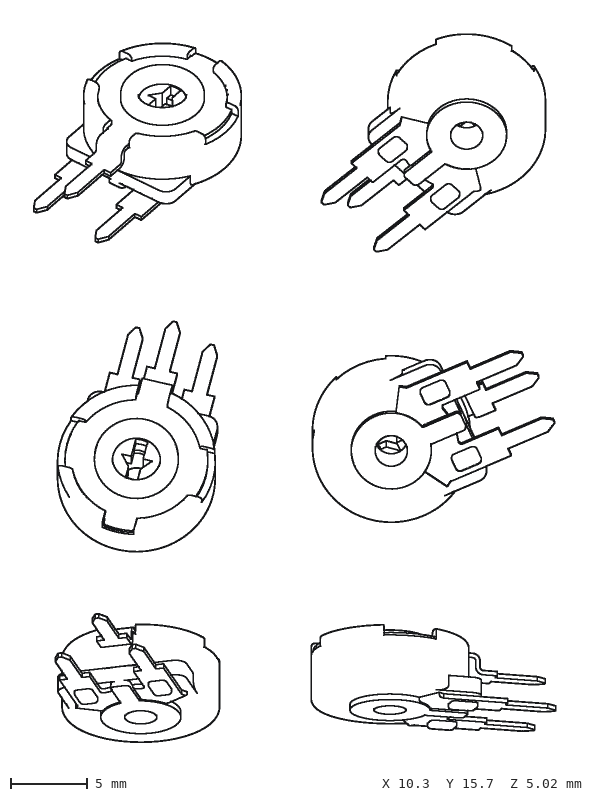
import cadquery as cq
import math


sheet = 0.3
overall_length = 15.65
housing_radius = 5.15
tip_y = housing_radius - overall_length

base_fillet = 0.4
seat_z = 3.3
seat_top = seat_z + sheet
crimp_top = 4.07
crimp_inner_radius = 4.23
crimp_fillet = 0.28
end_notch_half = 1.06
side_notch_half = 1.77
cavity_floor = 2.19
bore_radius = 1.05
block_half = 4.35
block_height = 1.03
block_corner = 0.78
boss_radius = 2.61
boss_depth = 0.38
rib_half = 0.64
rib_corner = 0.3

rivet_width = 1.22
rivet_length = 1.8
rivet_bottom = -0.61
rivet_corner = 0.3
rivet_fillet = 0.19
rivet_y = rivet_length / 2 - housing_radius

plate_radius = 4.66
plate_tab_reach = 5.02
plate_tab_corner = 0.19
lead_bottom = 2.19
bend_inner = 0.2
bend_outer = bend_inner + sheet
bend_face_y = -5.82

lead_pitch = 2.5
shoulder_half = 1.02
shoulder_y = -7.0
pin_half = 0.5
taper_y = -9.86
tip_half = 0.13

ring_radius = 4.41
ring_start_angle = math.radians(31)
ring_gap = 0.03
ring_end_fillet = 0.19
ring_inside_fillet = 0.22
lead_root_y = -2.66

rotor_radius = 2.74
rotor_top = 4.41
rim_outer_fillet = 0.5
pocket_radius = 1.56
rim_inner_fillet = 0.55
pocket_floor = 3.47
slot_width = 0.8
slot_half = slot_width / 2
slot_reach = 1.49
slot_floor = 2.69
arrow_half = 1.02
arrow_base_y = -0.2
arrow_shoulder_y = 0.53


def cylinder(radius, bottom, top):
    return cq.Workplane("XY").workplane(offset=bottom).circle(radius).extrude(top - bottom)


def block(x_half, y_min, y_max, bottom, top):
    """Box centred on X = 0."""
    outline = cq.Workplane("XY").workplane(offset=bottom).center(0, (y_min + y_max) / 2)
    return outline.rect(2 * x_half, y_max - y_min).extrude(top - bottom)


def rivet(x, top):
    shaft = cq.Workplane("XY").workplane(offset=rivet_bottom).center(x, rivet_y)
    shaft = shaft.rect(rivet_width, rivet_length).extrude(top - rivet_bottom)
    return shaft.edges("|Z").fillet(rivet_corner)


def make_housing():
    cup = cylinder(housing_radius, 0, crimp_top)
    cup = cup.cut(cylinder(crimp_inner_radius, seat_top, crimp_top))
    cup = cup.faces(">Z").edges().fillet(crimp_fillet)
    cup = cup.faces("<Z").edges().fillet(base_fillet)

    end_notch = block(end_notch_half, -housing_radius, housing_radius, seat_z, crimp_top)
    side_notch = block(housing_radius, -side_notch_half, side_notch_half, seat_z, crimp_top)
    cup = cup.cut(end_notch).cut(side_notch)

    front_block = block(block_half, -housing_radius, 0, 0, block_height)
    front_block = front_block.edges("|Z and <Y").fillet(block_corner)
    boss = cylinder(boss_radius, -boss_depth, 0)
    rib = block(rib_half, -housing_radius, 0, -boss_depth, 0)
    rib = rib.edges("|Z and <Y").fillet(rib_corner)
    body = cup.union(front_block).union(boss).union(rib)

    body = body.cut(cylinder(plate_radius, seat_z, seat_top))
    body = body.cut(cylinder(rotor_radius, cavity_floor, seat_z))
    body = body.cut(cylinder(bore_radius, -boss_depth, cavity_floor))

    for side in (-1, 1):
        body = body.union(rivet(side * lead_pitch, 0).faces("<Z").edges().fillet(rivet_fillet))
    return body


def lead(x, root_y, bottom):
    """Flat lead from root_y to the tip, with a wide shoulder and a tapered pin."""
    right_side = [
        (shoulder_half, root_y),
        (shoulder_half, shoulder_y),
        (pin_half, shoulder_y),
        (pin_half, taper_y),
        (tip_half, tip_y),
    ]
    left_side = [(-px, py) for px, py in reversed(right_side)]
    outline = cq.Workplane("XY").workplane(offset=bottom).center(x, 0)
    return outline.polyline(right_side + left_side).close().extrude(sheet)


def make_wiper_plate():
    disc = cylinder(plate_radius, seat_z, seat_top)

    rear_tab = block(shoulder_half, 0, plate_tab_reach, seat_z, seat_top)
    rear_tab = rear_tab.intersect(cylinder(plate_tab_reach, seat_z, seat_top))
    rear_tab = rear_tab.edges("|Z").edges(">Y").fillet(plate_tab_corner)

    lead_top = lead_bottom + sheet
    back_face_y = bend_face_y + sheet
    upper_y = bend_face_y + bend_outer
    lower_y = bend_face_y - bend_inner
    strip = (
        cq.Workplane("YZ")
        .workplane(offset=-shoulder_half)
        .moveTo(0, seat_top)
        .lineTo(upper_y, seat_top)
        .radiusArc((bend_face_y, seat_top - bend_outer), -bend_outer)
        .lineTo(bend_face_y, lead_top + bend_inner)
        .radiusArc((lower_y, lead_top), bend_inner)
        .lineTo(lower_y, lead_bottom)
        .radiusArc((back_face_y, lead_bottom + bend_outer), -bend_outer)
        .lineTo(back_face_y, seat_z - bend_inner)
        .radiusArc((upper_y, seat_z), bend_inner)
        .lineTo(0, seat_z)
        .close()
        .extrude(2 * shoulder_half)
    )
    plate = disc.union(rear_tab).union(strip).union(lead(0, lower_y, lead_bottom))
    return plate.cut(cylinder(rotor_radius, seat_z, seat_top))


def make_side_terminal(side):
    """Side terminal with its ring sector around the boss; side is -1 for -X and +1 for +X."""
    ring_end_x = rib_half + ring_gap
    ring_end_angle_inner = math.acos(ring_end_x / boss_radius)
    ring_end_angle_outer = math.acos(ring_end_x / ring_radius)

    def ring_point(radius, angle):
        return (side * radius * math.cos(angle), -radius * math.sin(angle))

    mid_angle = (ring_start_angle + ring_end_angle_inner) / 2
    ring = (
        cq.Workplane("XY")
        .workplane(offset=-sheet)
        .moveTo(*ring_point(boss_radius, ring_start_angle))
        .lineTo(*ring_point(ring_radius, ring_start_angle))
        .threePointArc(ring_point(ring_radius, mid_angle), ring_point(ring_radius, ring_end_angle_outer))
        .lineTo(*ring_point(boss_radius, ring_end_angle_inner))
        .threePointArc(ring_point(boss_radius, mid_angle), ring_point(boss_radius, ring_start_angle))
        .close()
        .extrude(sheet)
    )
    ring = ring.faces("<Z").edges("%LINE").fillet(ring_end_fillet)

    terminal = ring.union(lead(side * lead_pitch, lead_root_y, -sheet))

    corner_x = lead_pitch - shoulder_half
    corner_y = -math.sqrt(ring_radius**2 - corner_x**2)
    inside_corner = cq.selectors.NearestToPointSelector((side * corner_x, corner_y, -sheet / 2))
    terminal = terminal.edges("|Z").edges(inside_corner).fillet(ring_inside_fillet)
    return terminal.cut(rivet(side * lead_pitch, 0))


def round_ended_slot(reach, bottom):
    """Slot along Y up to the pocket floor, with ends on a circle about the rotor axis."""
    slot = block(slot_half, -reach, reach, bottom, pocket_floor)
    return slot.intersect(cylinder(reach, bottom, pocket_floor))


def make_rotor():
    rotor = cylinder(rotor_radius, cavity_floor, rotor_top)
    rotor = rotor.faces(">Z").edges().fillet(rim_outer_fillet)
    rotor = rotor.cut(cylinder(pocket_radius, pocket_floor, rotor_top))
    pocket_edge = cq.selectors.RadiusNthSelector(0)
    rotor = rotor.faces(">Z").edges("%CIRCLE").edges(pocket_edge).fillet(rim_inner_fillet)

    arrow_head = [
        (-arrow_half, arrow_base_y),
        (arrow_half, arrow_base_y),
        (slot_half, arrow_shoulder_y),
        (-slot_half, arrow_shoulder_y),
    ]
    head = cq.Workplane("XY").workplane(offset=cavity_floor).polyline(arrow_head).close()
    head = head.extrude(pocket_floor - cavity_floor)
    shaft = round_ended_slot(bore_radius, cavity_floor)

    blind_slot = round_ended_slot(slot_reach, slot_floor)
    return rotor.cut(head).cut(shaft).cut(blind_slot)


housing = make_housing()
wiper_plate = make_wiper_plate()
rotor = make_rotor()
side_terminals = [make_side_terminal(side) for side in (-1, 1)]

bodies = [housing, wiper_plate, rotor, *side_terminals]

result = cq.Compound.makeCompound([body.solids().val() for body in bodies])